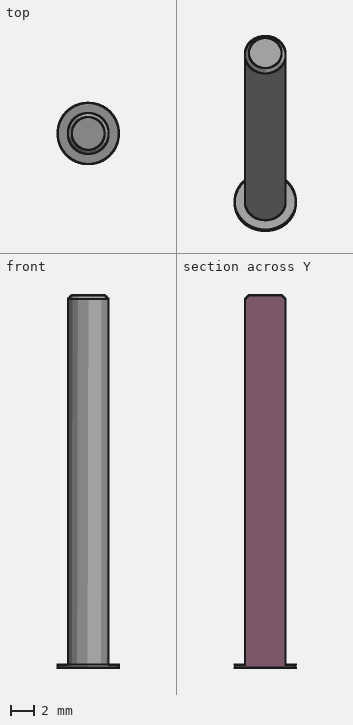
import cadquery as cq

total_length = 31.75
head_diameter = 5.25
head_thickness = 0.3
shank_diameter = 3.5
tip_chamfer = 0.35

head = cq.Workplane("XY").circle(head_diameter / 2).extrude(head_thickness)

shank = (
    cq.Workplane("XY")
    .circle(shank_diameter / 2)
    .extrude(total_length)
    .faces(">Z")
    .chamfer(tip_chamfer)
)

result = head.union(shank)